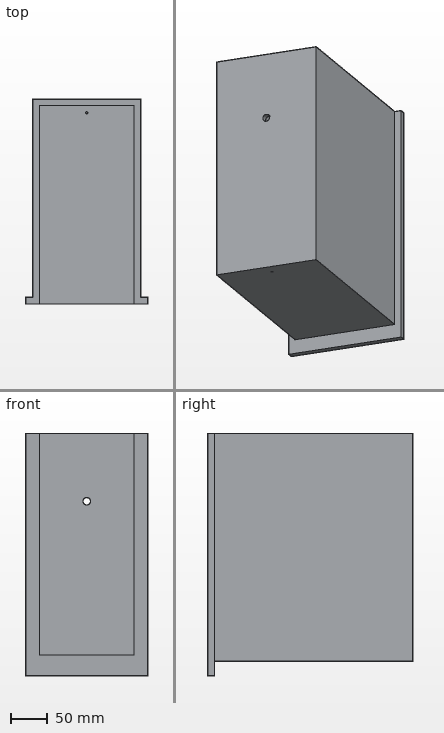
import cadquery as cq

width = 167.0
depth = 280.0
height = 331

flange_thickness = 9.5
flange_drop = 20

side_wall = 9.5
back_wall = 9.0
floor_thickness = back_wall
floor_top = flange_drop + floor_thickness
box_width = width - 2 * flange_thickness
inner_width = box_width - 2 * side_wall

back_hole_diameter = 10
back_hole_height = 238.3
floor_hole_diameter = 2.5
floor_hole_from_back = 19.0


def block(size_x, size_y, size_z, front_y, bottom_z):
    """Block centred on X, starting at front_y and bottom_z."""
    base = cq.Workplane("XY").box(size_x, size_y, size_z, centered=(True, False, False))
    return base.translate((0, front_y, bottom_z))


flange = block(width, flange_thickness, height, 0, 0)
body = block(box_width, depth, height - flange_drop, 0, flange_drop)
cavity = block(inner_width, depth - back_wall, height - floor_top, 0, floor_top)

back_hole = (
    cq.Workplane("XZ", origin=(0, depth, back_hole_height))
    .circle(back_hole_diameter / 2)
    .extrude(back_wall)
)

floor_hole = (
    cq.Workplane("XY", origin=(0, depth - floor_hole_from_back, flange_drop))
    .circle(floor_hole_diameter / 2)
    .extrude(floor_thickness)
)

result = flange.union(body).cut(cavity).cut(back_hole).cut(floor_hole)